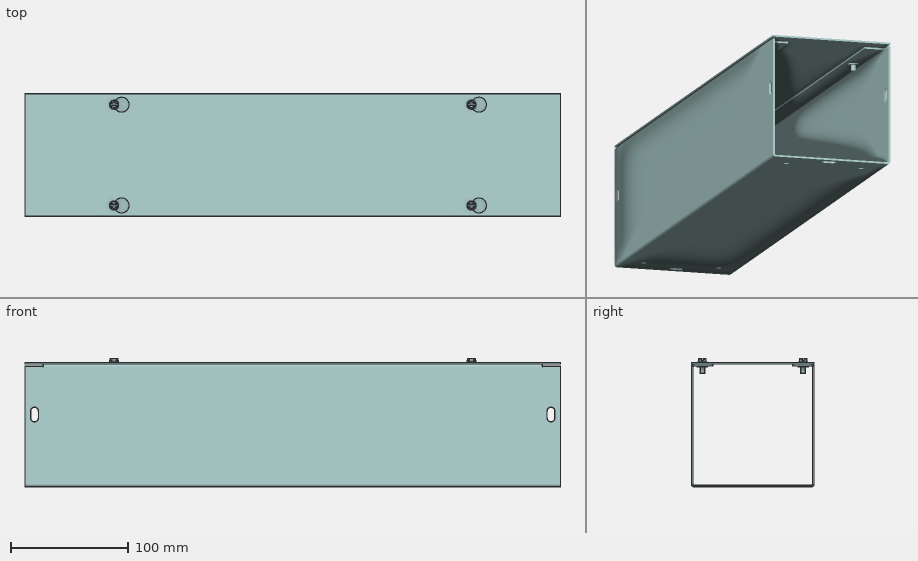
import cadquery as cq
import math

LENGTH = 457.0
WIDTH = 104.5
TOTAL_HEIGHT = 109.5
SHEET = 1.55
BEND_RADIUS = 2.5

CHANNEL_HEIGHT = 104.5
FLANGE_WIDTH = 18.5
FLANGE_END_INSET = 15.5
BOSS_DIAMETER = 9.0
BOSS_HEIGHT = 1.0

SLOT_WIDTH = 6.5
SLOT_LENGTH = 12.5
SLOT_END_DISTANCE = 8.2
SIDE_SLOT_HEIGHT = 61.5

FLOOR_HOLE_DIAMETER = 4.5
FLOOR_HOLE_END_DISTANCE = 23.5
FLOOR_HOLE_Y = 33.5

COVER_END_GAP = 0.1
KEYHOLE_DIAMETER = 13.0
KEYHOLE_OFFSET = 6.5
KEYHOLE_SLOT_WIDTH = 4.5

SCREW_SPACING = 305.0
SCREW_Y = 43.0
SCREW_DIAMETER = 4.05
SCREW_LENGTH = 13.0
WASHER_DIAMETER = 8.0
WASHER_HEIGHT = 0.5
HEX_ACROSS_FLATS = 6.5
RECESS_DIAMETER = 4.5
RECESS_DEPTH = 1.0
DRIVER_SLOT_WIDTH = 1.5
DRIVER_SLOT_DEPTH = 2.0

COVER_TOP = CHANNEL_HEIGHT + SHEET
HEAD_HEIGHT = TOTAL_HEIGHT - COVER_TOP
SHANK_LENGTH = SCREW_LENGTH - HEAD_HEIGHT
FLANGE_BOTTOM = CHANNEL_HEIGHT - SHEET
FLANGE_OPENING = WIDTH - 2 * FLANGE_WIDTH
INNER_RADIUS = BEND_RADIUS - SHEET
END_SIGNS = (-1, 1)
SCREW_X = SCREW_SPACING / 2
SCREW_POINTS = [(sx * SCREW_X, sy * SCREW_Y) for sx in END_SIGNS for sy in END_SIGNS]


def bar_along_x(length, width, height, bottom, radius):
    """Solid bar centred on X and Y, with its four long edges rounded."""
    bar = cq.Workplane("XY").box(length, width, height, centered=(True, True, False))
    return bar.edges("|X").fillet(radius).translate((0, 0, bottom))


def folded_tube(length, height):
    """Closed rectangular tube of sheet along X, standing on the floor plane."""
    outside = bar_along_x(length, WIDTH, height, 0, BEND_RADIUS)
    cavity = bar_along_x(length, WIDTH - 2 * SHEET, height - 2 * SHEET, SHEET, INNER_RADIUS)
    return outside.cut(cavity)


def block_above(bottom, length, width):
    """Tall cutting block centred on X and Y."""
    block = cq.Workplane("XY").box(length, width, TOTAL_HEIGHT, centered=(True, True, False))
    return block.translate((0, 0, bottom))


def folded_channel():
    """Trough with inward flanges; beyond the flange ends its walls stop below them, unbent."""
    flanged_length = LENGTH - 2 * FLANGE_END_INSET
    opening = block_above(CHANNEL_HEIGHT / 2, flanged_length, FLANGE_OPENING)
    flanged_middle = folded_tube(flanged_length, CHANNEL_HEIGHT).cut(opening)
    plain_trough = folded_tube(LENGTH, TOTAL_HEIGHT).cut(block_above(FLANGE_BOTTOM, LENGTH, WIDTH))
    plain_ends = plain_trough.cut(block_above(0, flanged_length, WIDTH))
    return plain_ends.union(flanged_middle)


def side_slots():
    """Upright slots that pass through both side walls near each end."""
    slot_x = LENGTH / 2 - SLOT_END_DISTANCE
    return (
        cq.Workplane("XZ")
        .pushPoints([(sign * slot_x, SIDE_SLOT_HEIGHT) for sign in END_SIGNS])
        .slot2D(SLOT_LENGTH, SLOT_WIDTH, 90)
        .extrude(WIDTH, both=True)
    )


def floor_openings():
    """Crosswise slots and round mounting holes through the floor."""
    slot_x = LENGTH / 2 - SLOT_END_DISTANCE
    hole_x = LENGTH / 2 - FLOOR_HOLE_END_DISTANCE
    slots = (
        cq.Workplane("XY")
        .pushPoints([(sign * slot_x, 0) for sign in END_SIGNS])
        .slot2D(SLOT_LENGTH, SLOT_WIDTH, 90)
        .extrude(SHEET)
    )
    holes = (
        cq.Workplane("XY")
        .rect(2 * hole_x, 2 * FLOOR_HOLE_Y, forConstruction=True)
        .vertices()
        .circle(FLOOR_HOLE_DIAMETER / 2)
        .extrude(SHEET)
    )
    return slots.union(holes)


def posts(diameter, bottom, height):
    """Upright cylinders at the four screw positions."""
    plane = cq.Workplane("XY").workplane(offset=bottom).pushPoints(SCREW_POINTS)
    return plane.circle(diameter / 2).extrude(height)


def make_channel():
    bosses = posts(BOSS_DIAMETER, FLANGE_BOTTOM - BOSS_HEIGHT, BOSS_HEIGHT)
    screw_holes = posts(SCREW_DIAMETER, FLANGE_BOTTOM - BOSS_HEIGHT, SHEET + BOSS_HEIGHT)
    channel = folded_channel().union(bosses).cut(screw_holes)
    return channel.cut(side_slots()).cut(floor_openings())


def make_cover():
    """Flat sheet whose keyholes have their large end on the +X side of each screw."""
    sheet = cq.Workplane("XY").box(
        LENGTH - 2 * COVER_END_GAP, WIDTH, SHEET, centered=(True, True, False)
    )
    entries = (
        cq.Workplane("XY")
        .pushPoints([(x + KEYHOLE_OFFSET, y) for x, y in SCREW_POINTS])
        .circle(KEYHOLE_DIAMETER / 2)
        .extrude(SHEET)
    )
    slots = (
        cq.Workplane("XY")
        .pushPoints([(x + KEYHOLE_OFFSET / 2, y) for x, y in SCREW_POINTS])
        .slot2D(KEYHOLE_OFFSET + KEYHOLE_SLOT_WIDTH, KEYHOLE_SLOT_WIDTH)
        .extrude(SHEET)
    )
    return sheet.cut(entries).cut(slots).translate((0, 0, CHANNEL_HEIGHT))


def hex_head():
    """Hexagon with two corners along X, a round recess and a driver slot along X."""
    across_corners = HEX_ACROSS_FLATS / math.cos(math.pi / 6)
    top = cq.Workplane("XY").workplane(offset=HEAD_HEIGHT)
    recess = top.circle(RECESS_DIAMETER / 2).extrude(-RECESS_DEPTH)
    slot = top.rect(across_corners, DRIVER_SLOT_WIDTH).extrude(-DRIVER_SLOT_DEPTH)
    hexagon = cq.Workplane("XY").polygon(6, across_corners).extrude(HEAD_HEIGHT)
    return hexagon.cut(recess).cut(slot)


def make_screw(x, y):
    """Hex washer-head screw resting on the cover, its shank passing through the flange."""
    washer = cq.Workplane("XY").circle(WASHER_DIAMETER / 2).extrude(WASHER_HEIGHT)
    shank = cq.Workplane("XY").circle(SCREW_DIAMETER / 2).extrude(-SHANK_LENGTH)
    return hex_head().union(washer).union(shank).translate((x, y, COVER_TOP))


channel = make_channel()
cover = make_cover()
screws = [make_screw(x, y) for x, y in SCREW_POINTS]

result = cq.Compound.makeCompound(
    [channel.val(), cover.val(), *[screw.val() for screw in screws]]
)